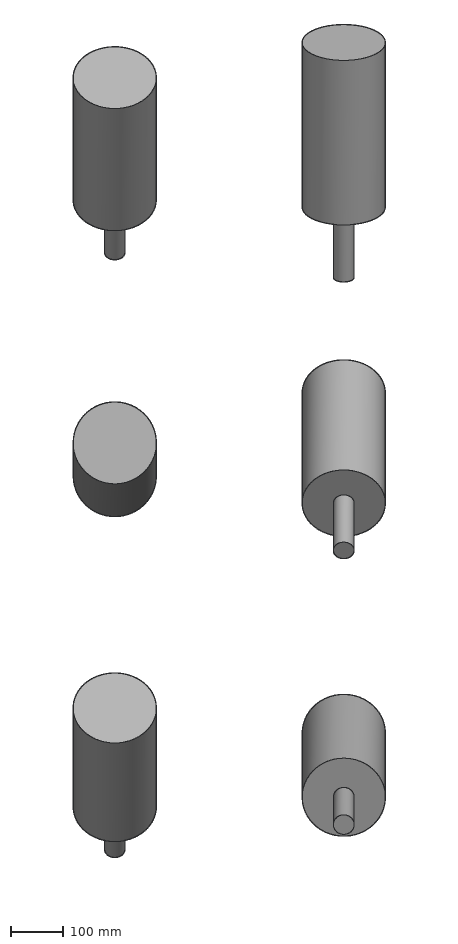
import cadquery as cq

total_length = 500.0
body_diameter = 160.0
shaft_diameter = 40.0
shaft_length = 150.0
body_length = total_length - shaft_length

shaft = cq.Workplane("XY").circle(shaft_diameter / 2).extrude(shaft_length)

body = cq.Workplane("XY", origin=(0, 0, shaft_length)).circle(body_diameter / 2).extrude(body_length)

result = body.union(shaft)